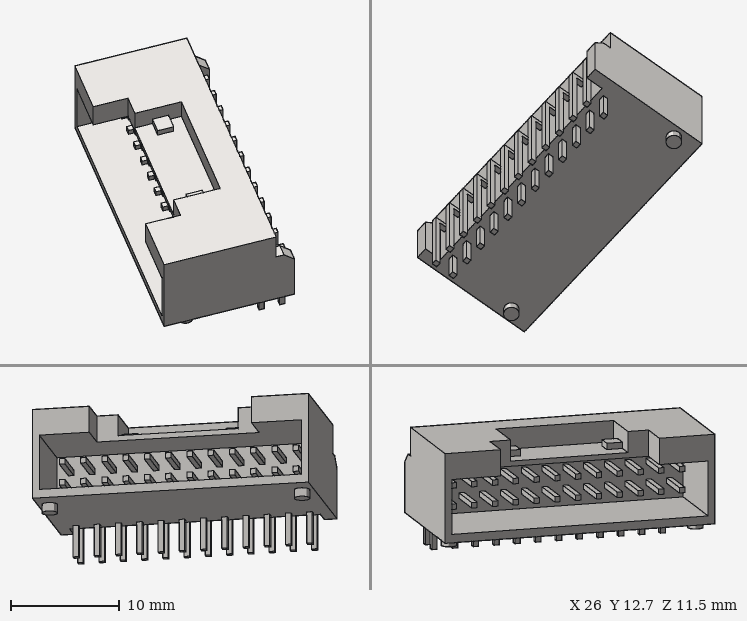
import cadquery as cq


width = 26.0
body_depth = 10.9
total_depth = 12.7
height = 8.5

side_wall = 0.65
floor_thickness = 0.8
roof_thickness = 2.5
cavity_depth = 7.8

mouth_width = 15.3
mouth_depth = 3.38
latch_width = 11.3
latch_back = 7.9
latch_cut_depth = 2.0

lug_width = 1.5
lug_length = 1.55
lug_height = 0.6
lug_front = 5.1

wing_width = 1.2
wing_height = 5.77
wing_chamfer_length = 1.05
wing_chamfer_height = 0.95

contact_columns = 12
pitch = 2.0
contact_size = 0.52
contact_tip = 3.8
lower_row_height = 2.47
front_tail_place = 10.05
tail_length = 3.0

peg_diameter = 1.43
peg_length = 0.8
peg_inset = 1.12
peg_place = 2.45


def block(x_size, y_start, y_end, z_start, z_end, x_centre=0):
    """Box centred on x_centre that spans the given Y and Z ranges."""
    return (
        cq.Workplane("XY")
        .box(x_size, y_end - y_start, z_end - z_start, centered=(True, False, False))
        .translate((x_centre, y_start, z_start))
    )


def housing():
    cavity_top = height - roof_thickness
    body = block(width, 0, body_depth, 0, height)
    cavity = block(width - 2 * side_wall, 0, cavity_depth, floor_thickness, cavity_top)
    mouth = block(mouth_width, 0, mouth_depth, cavity_top, height)
    latch_pocket = block(latch_width, mouth_depth, latch_back, height - latch_cut_depth, height)
    return body.cut(cavity).cut(mouth).cut(latch_pocket)


def latch_lug(side):
    pocket_floor = height - latch_cut_depth
    x_centre = side * (latch_width - lug_width) / 2
    return block(
        lug_width, lug_front, lug_front + lug_length, pocket_floor, pocket_floor + lug_height, x_centre
    )


def wing(side):
    """Rear side wall with a sloped top corner."""
    profile = [
        (body_depth, 0),
        (total_depth, 0),
        (total_depth, wing_height - wing_chamfer_height),
        (total_depth - wing_chamfer_length, wing_height),
        (body_depth, wing_height),
    ]
    x_centre = side * (width - wing_width) / 2
    return (
        cq.Workplane("YZ")
        .polyline(profile)
        .close()
        .extrude(wing_width / 2, both=True)
        .translate((x_centre, 0, 0))
    )


def peg(side):
    x_centre = side * (width / 2 - peg_inset)
    return cq.Workplane("XY").center(x_centre, peg_place).circle(peg_diameter / 2).extrude(-peg_length)


def contact(x_centre, row):
    """L-shaped contact; each higher row has its tail one pitch further back."""
    half = contact_size / 2
    arm_z = lower_row_height + row * pitch
    tail_y = front_tail_place + row * pitch
    arm = block(contact_size, contact_tip, tail_y + half, arm_z - half, arm_z + half, x_centre)
    tail = block(contact_size, tail_y - half, tail_y + half, -tail_length, arm_z + half, x_centre)
    return arm.union(tail)


result = housing()

for side in (-1, 1):
    result = result.union(latch_lug(side)).union(wing(side)).union(peg(side))

for column in range(contact_columns):
    column_x = (column - (contact_columns - 1) / 2) * pitch
    for row in (0, 1):
        result = result.union(contact(column_x, row))